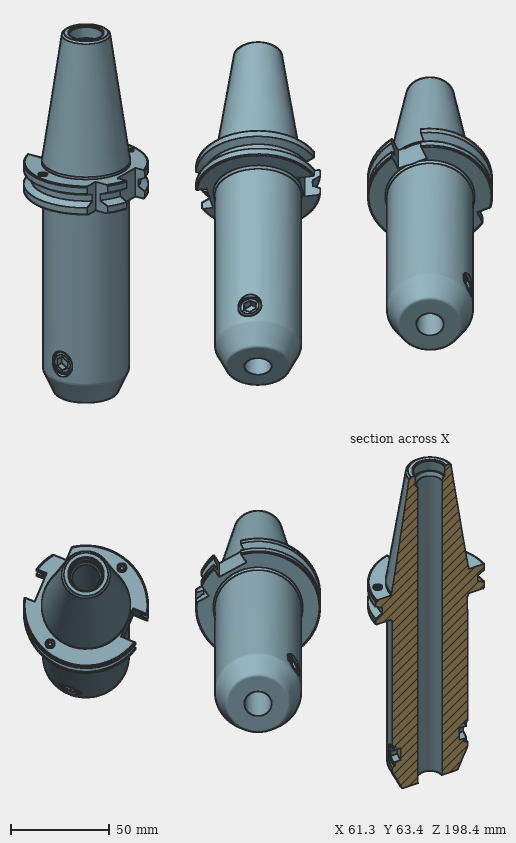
import cadquery as cq
import math

total_length = 198.4
taper_length = 68.5
gauge_z = total_length - taper_length
flange_top = gauge_z - 3.2
flange_height = 15.9
flange_bottom = flange_top - flange_height

gauge_radius = 22.2
taper_slope = 7 / 24 / 2
taper_end_radius = gauge_radius - taper_length * taper_slope
taper_end_chamfer = 1.0

flange_radius = 31.7
flange_chamfer = 0.5
groove_root_radius = 28.0
groove_root_width = 3.4
groove_centre_z = gauge_z - 11.1
groove_flank_rise = (flange_radius - groove_root_radius) * math.tan(math.radians(30))
collar_radius = 22.8
collar_blend = 1.5
upper_collar_radius = 22.6
upper_collar_height = 2.0
upper_collar_edge = 0.5

body_radius = 22.0
nose_cone_height = 12.7
nose_radius = 16.3
nose_fillet = 1.5
shoulder_fillet = 2.5

bore_radius = 7.0
counterbore_radius = 8.5
counterbore_chamfer = 0.5
counterbore_depth = 6.5
lead_in_radius = 8.0
lead_in_height = 2.4

drive_slot_width = 16.0
left_slot_floor_x = -22.6
right_slot_floor_x = 25.0
notch_x = 18.5
notch_y = -18.3

screw_z = 22.6
screw_angles = (0, 180)
screw_hole_radius = 6.0
screw_hole_rim_radius = 7.0
screw_face_depth = 0.8
screw_chamfer = 1.2
screw_hex_flats = 6.3
screw_hex_depth = 4.0

seal_pitch_radius = 27.0
seal_angles = (70, 250)
seal_hole_radius = 2.0
seal_rim_chamfer = 0.4
seal_face_depth = 0.8
seal_hex_flats = 2.0
seal_hex_depth = 2.0


def hexagon_diameter(across_flats):
    return across_flats / math.cos(math.radians(30))


def make_turned_body():
    """Revolved outside shape: nose, body, grooved flange and taper."""
    root_top = groove_centre_z + groove_root_width / 2
    root_bottom = groove_centre_z - groove_root_width / 2
    rim_radius = flange_radius - flange_chamfer
    taper_base_z = flange_top + upper_collar_height
    taper_base_radius = gauge_radius + (gauge_z - taper_base_z) * taper_slope
    profile = (
        cq.Workplane("XZ")
        .moveTo(0, 0)
        .lineTo(nose_radius, 0)
        .lineTo(body_radius, nose_cone_height)
        .lineTo(body_radius, flange_bottom - collar_blend)
        .lineTo(collar_radius, flange_bottom)
        .lineTo(rim_radius, flange_bottom)
        .lineTo(flange_radius, flange_bottom + flange_chamfer)
        .lineTo(flange_radius, root_bottom - groove_flank_rise)
        .lineTo(groove_root_radius, root_bottom)
        .lineTo(groove_root_radius, root_top)
        .lineTo(flange_radius, root_top + groove_flank_rise)
        .lineTo(flange_radius, flange_top - flange_chamfer)
        .lineTo(rim_radius, flange_top)
        .lineTo(upper_collar_radius, flange_top)
        .lineTo(upper_collar_radius, taper_base_z - upper_collar_edge)
        .lineTo(taper_base_radius, taper_base_z)
        .lineTo(taper_end_radius, total_length)
        .lineTo(0, total_length)
        .close()
    )
    body = profile.revolve(360, (0, 0, 0), (0, 1, 0))
    shoulder = cq.selectors.NearestToPointSelector((0, 0, nose_cone_height))
    body = body.edges(shoulder).fillet(shoulder_fillet)
    body = body.faces("<Z").edges().fillet(nose_fillet)
    return body.faces(">Z").edges().chamfer(taper_end_chamfer)


def make_bore():
    """Through bore with a chamfered counterbore and a lead-in cone at the taper end."""
    floor_z = total_length - counterbore_depth
    return (
        cq.Workplane("XZ")
        .moveTo(0, 0)
        .lineTo(bore_radius, 0)
        .lineTo(bore_radius, floor_z - lead_in_height)
        .lineTo(lead_in_radius, floor_z)
        .lineTo(counterbore_radius, floor_z)
        .lineTo(counterbore_radius, total_length - counterbore_chamfer)
        .lineTo(counterbore_radius + counterbore_chamfer, total_length)
        .lineTo(0, total_length)
        .close()
        .revolve(360, (0, 0, 0), (0, 1, 0))
    )


def flange_block(x_min, x_max, y_min, y_max):
    """Cutting block over the full height of the flange and its collars."""
    z_min = flange_bottom - collar_blend
    size = (x_max - x_min, y_max - y_min, gauge_z - z_min)
    return cq.Workplane("XY").box(*size, centered=False).translate((x_min, y_min, z_min))


def make_flange_cutouts():
    half_width = drive_slot_width / 2
    left_slot = flange_block(-flange_radius, left_slot_floor_x, -half_width, half_width)
    right_slot = flange_block(right_slot_floor_x, flange_radius, -half_width, half_width)
    notch = flange_block(notch_x, flange_radius, -flange_radius, notch_y)
    return left_slot.union(right_slot).union(notch)


def make_screw_recess(angle):
    """Countersunk hole down to the chamfered screw face, with its hexagon socket."""
    rim = screw_hole_rim_radius - screw_hole_radius
    ring_depth = screw_face_depth + screw_chamfer
    recess = (
        cq.Workplane("XZ")
        .lineTo(0, -screw_face_depth)
        .lineTo(screw_hole_radius - screw_chamfer, -screw_face_depth)
        .lineTo(screw_hole_radius, -ring_depth)
        .lineTo(screw_hole_radius, -rim)
        .lineTo(screw_hole_rim_radius, 0)
        .close()
        .revolve(360, (0, 0, 0), (0, 1, 0))
    )
    socket = (
        cq.Workplane("XY")
        .workplane(offset=-screw_face_depth)
        .polygon(6, hexagon_diameter(screw_hex_flats))
        .extrude(-screw_hex_depth)
        .rotate((0, 0, 0), (0, 0, 1), 90)
    )
    tool = recess.union(socket)
    tool = tool.rotate((0, 0, 0), (1, 0, 0), 90).translate((0, -body_radius, screw_z))
    return tool.rotate((0, 0, 0), (0, 0, 1), angle)


def make_seal_recess(angle):
    """Sealing screw recess with a chamfered rim and a hexagon socket."""
    rim_radius = seal_hole_radius + seal_rim_chamfer
    recess = (
        cq.Workplane("XZ")
        .lineTo(0, -seal_face_depth)
        .lineTo(seal_hole_radius, -seal_face_depth)
        .lineTo(seal_hole_radius, -seal_rim_chamfer)
        .lineTo(rim_radius, 0)
        .close()
        .revolve(360, (0, 0, 0), (0, 1, 0))
    )
    socket = cq.Workplane("XY").polygon(6, hexagon_diameter(seal_hex_flats)).extrude(-seal_hex_depth)
    tool = recess.union(socket)
    return tool.translate((seal_pitch_radius, 0, flange_top)).rotate((0, 0, 0), (0, 0, 1), angle)


result = make_turned_body().cut(make_bore()).cut(make_flange_cutouts())
for screw_angle in screw_angles:
    result = result.cut(make_screw_recess(screw_angle))
for seal_angle in seal_angles:
    result = result.cut(make_seal_recess(seal_angle))